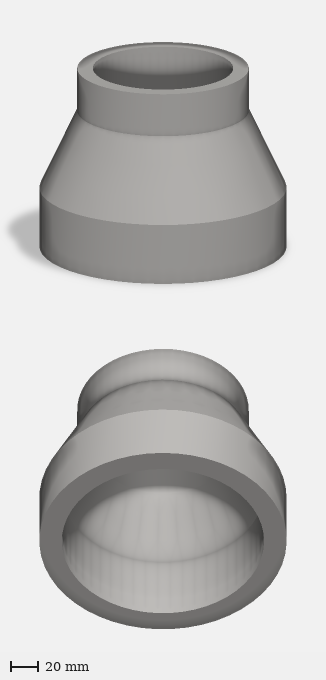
import cadquery as cq

base_diameter = 180.0
neck_diameter = 125.0
base_wall = 16.4
neck_wall = 11.3

total_height = 136.0
base_height = 45.0
neck_height = 32.0

base_bore_depth = 52.7
neck_bore_depth = 35.0


def reducer_body(wide_diameter, narrow_diameter, wide_length, narrow_length):
    """Solid of revolution: wide cylinder, cone, narrow cylinder."""
    wide_radius = wide_diameter / 2
    narrow_radius = narrow_diameter / 2
    half_profile = (
        cq.Workplane("XZ")
        .moveTo(0, 0)
        .lineTo(wide_radius, 0)
        .lineTo(wide_radius, wide_length)
        .lineTo(narrow_radius, total_height - narrow_length)
        .lineTo(narrow_radius, total_height)
        .lineTo(0, total_height)
        .close()
    )
    return half_profile.revolve(360, (0, 0, 0), (0, 1, 0))


outer_body = reducer_body(base_diameter, neck_diameter, base_height, neck_height)

base_bore_diameter = base_diameter - 2 * base_wall
neck_bore_diameter = neck_diameter - 2 * neck_wall
bore = reducer_body(base_bore_diameter, neck_bore_diameter, base_bore_depth, neck_bore_depth)

result = outer_body.cut(bore)